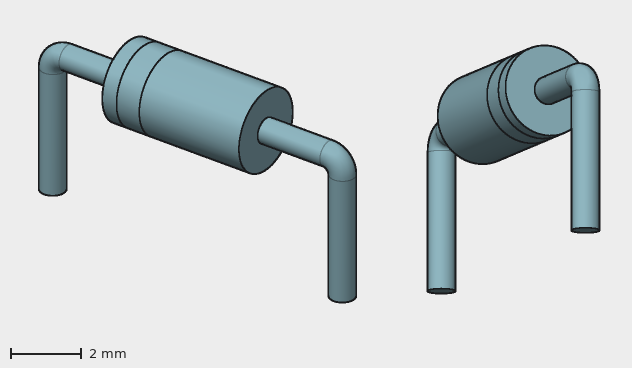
import cadquery as cq

overall_length = 10.96
overall_height = 5.8

housing_diameter = 2.6
housing_length = 4.8
end_cap_length = 0.5
band_length = 0.8

wire_diameter = 0.8
bend_radius = 0.5

axis_height = overall_height - housing_diameter / 2
leg_x = (overall_length - wire_diameter) / 2
housing_end_x = housing_length / 2
band_start_x = -housing_end_x + end_cap_length
main_start_x = band_start_x + band_length


def housing_section(start_x, end_x):
    """One length of the housing, as a cylinder along X."""
    return (
        cq.Workplane("YZ", origin=(start_x, 0, axis_height))
        .circle(housing_diameter / 2)
        .extrude(end_x - start_x)
    )


def lead(side):
    """A wire from the foot of a leg to the housing end; side is -1 or +1 along X."""
    bend_center_x = leg_x - bend_radius
    bend_start_z = axis_height - bend_radius
    bend_end = (side * bend_center_x, axis_height)
    center_line = (
        cq.Workplane("XZ")
        .moveTo(side * leg_x, 0)
        .lineTo(side * leg_x, bend_start_z)
        .tangentArcPoint(bend_end, relative=False)
        .lineTo(side * housing_end_x, axis_height)
    )
    return (
        cq.Workplane("XY", origin=(side * leg_x, 0, 0))
        .circle(wire_diameter / 2)
        .sweep(center_line)
    )


end_cap = housing_section(-housing_end_x, band_start_x)
band = housing_section(band_start_x, main_start_x)
main_housing = housing_section(main_start_x, housing_end_x)
leads = [lead(side) for side in (-1, 1)]

result = cq.Compound.makeCompound([
    end_cap.val(),
    band.val(),
    main_housing.val(),
    *[wire.val() for wire in leads],
])